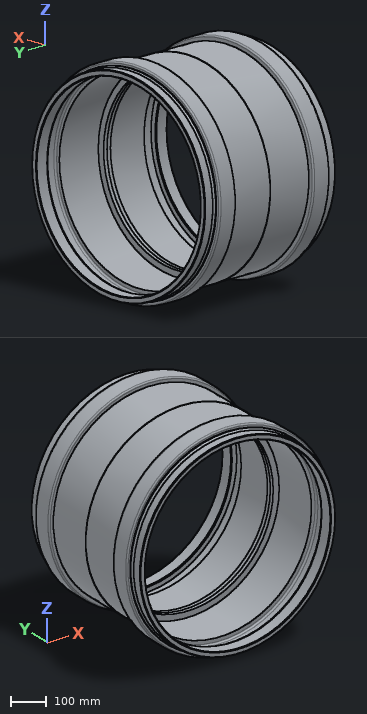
import cadquery as cq
import math

half_length = 267.5
collar_radius = 352.5
bore_radius = 318.0
stop_radius = 297.5
front_tube_radius = 670.0 / 2
back_tube_radius = 672.5 / 2
wall = front_tube_radius - bore_radius
mouth_chamfer = 2.0

cone_start = 32.0
cone_end = 40.0
collar_start = 43.0
collar_end = 109.0
cone_radius = 340.0
collar_fillet = 5.0

groove_radius = collar_radius - wall
groove_start = 44.0
groove_end = 94.5
groove_fillet = 5.5
lip_flare_length = 4.0
lip_flare_rise = 1.5

stop_half_width = 14.0


def socket(tube_radius, end_direction):
    """Revolve one socket about Y; end_direction is the sign of Y at its open end."""

    def at(radius, depth):
        return (radius, end_direction * (half_length - depth))

    def corner_middle(radius, depth, fillet, depth_direction):
        """Middle point of the arc rounding an outer corner that lies at (radius, depth)."""
        inset = fillet * (1 - math.sqrt(0.5))
        return at(radius - inset, depth + depth_direction * inset)

    profile = (
        cq.Workplane("XY")
        .moveTo(*at(bore_radius + mouth_chamfer, 0))
        .lineTo(*at(tube_radius - mouth_chamfer, 0))
        .lineTo(*at(tube_radius, mouth_chamfer))
        .lineTo(*at(tube_radius, cone_start))
        .lineTo(*at(cone_radius, cone_end))
        .lineTo(*at(cone_radius, collar_start))
        .lineTo(*at(collar_radius - collar_fillet, collar_start))
        .threePointArc(
            corner_middle(collar_radius, collar_start, collar_fillet, 1),
            at(collar_radius, collar_start + collar_fillet),
        )
        .lineTo(*at(collar_radius, collar_end - collar_fillet))
        .threePointArc(
            corner_middle(collar_radius, collar_end, collar_fillet, -1),
            at(collar_radius - collar_fillet, collar_end),
        )
        .lineTo(*at(tube_radius, collar_end))
        .lineTo(*at(tube_radius, half_length))
        .lineTo(*at(stop_radius, half_length))
        .lineTo(*at(stop_radius, half_length - stop_half_width))
        .lineTo(*at(bore_radius, half_length - stop_half_width))
        .lineTo(*at(bore_radius, groove_end))
        .lineTo(*at(groove_radius - groove_fillet, groove_end))
        .threePointArc(
            corner_middle(groove_radius, groove_end, groove_fillet, -1),
            at(groove_radius, groove_end - groove_fillet),
        )
        .lineTo(*at(groove_radius, groove_start + lip_flare_length))
        .lineTo(*at(bore_radius + lip_flare_rise, groove_start + lip_flare_length))
        .lineTo(*at(bore_radius, groove_start))
        .lineTo(*at(bore_radius, mouth_chamfer))
        .close()
    )
    return profile.revolve(360, (0, 0, 0), (0, 1, 0))


front_socket = socket(front_tube_radius, -1)
back_socket = socket(back_tube_radius, 1)

result = cq.Compound.makeCompound([front_socket.val(), back_socket.val()])